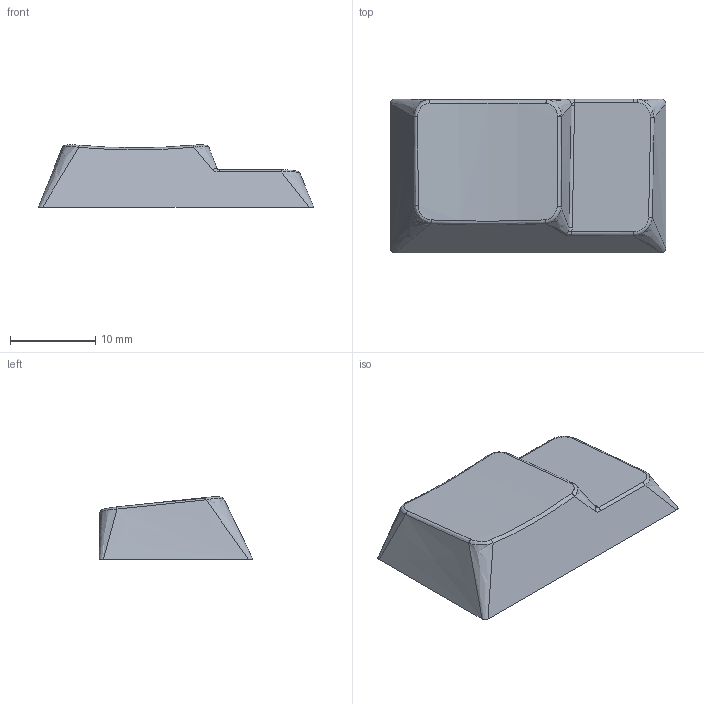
import cadquery as cq
import math


LENGTH = 32.39
DEPTH = 18.1
BASE_CORNER = 0.5

TOP_FALL = 0.107
TILT = math.atan(TOP_FALL)
TOP_HEIGHT = 8.09
STEP_HEIGHT = 4.66

FRONT_LEAN = 0.486
BACK_LEAN = 0.017

TOP_LEFT = 3.0
TOP_RIGHT = 19.9
FOOT_FRONT = 21.08
FOOT_BACK = 21.38
STEP_RIGHT_FRONT = 30.65
STEP_RIGHT_BACK = 30.94

TOP_CORNER = 2.15
STEP_CORNER = 2.3
FOOT_CORNER = 0.6

DISH_RADIUS = 72.0
DISH_DEPTH = 0.69
EDGE_ROUND = 0.45

SPLIT_X = (TOP_LEFT + TOP_RIGHT) / 2
CLEARANCE = 5.0


def rounded_section(corners, plane, left_radius, right_radius):
    """Four-sided wire on a plane, with its left and right corners rounded."""
    wire = cq.Wire.makePolygon([plane.toWorldCoords(corner) for corner in corners], close=True)
    left_vertices = [vertex for vertex in wire.Vertices() if vertex.X < SPLIT_X]
    wire = wire.fillet2D(left_radius, left_vertices)
    right_vertices = [vertex for vertex in wire.Vertices() if vertex.X > SPLIT_X]
    return wire.fillet2D(right_radius, right_vertices)


def base_section():
    corners = [(0, 0), (LENGTH, 0), (LENGTH, DEPTH), (0, DEPTH)]
    return rounded_section(corners, cq.Plane.XY(), BASE_CORNER, BASE_CORNER)


def tilted_section(height, right_front, right_back, right_radius):
    """Section on a plane that falls towards the back, bounded by the leaning front and back walls."""
    plane = cq.Plane((0, 0, height), (1, 0, 0), (0, math.sin(TILT), math.cos(TILT)))
    front_y = FRONT_LEAN * height / (1 + FRONT_LEAN * TOP_FALL)
    back_y = (DEPTH - BACK_LEAN * height) / (1 - BACK_LEAN * TOP_FALL)
    front = front_y / math.cos(TILT)
    back = back_y / math.cos(TILT)
    corners = [(TOP_LEFT, front), (right_front, front), (right_back, back), (TOP_LEFT, back)]
    return rounded_section(corners, plane, TOP_CORNER, right_radius)


def loft_between(lower, upper, x_start, x_end):
    """Ruled loft between two sections, kept only from x_start to x_end."""
    solid = cq.Workplane(cq.Solid.makeLoft([lower, upper], True))
    width = x_end - x_start
    keep = cq.Workplane().box(width, DEPTH + 2 * CLEARANCE, TOP_HEIGHT + 2 * CLEARANCE)
    keep = keep.translate((x_start + width / 2, DEPTH / 2, TOP_HEIGHT / 2))
    return solid.intersect(keep)


def make_body():
    base = base_section()
    top = tilted_section(TOP_HEIGHT, TOP_RIGHT, TOP_RIGHT, TOP_CORNER)
    step = tilted_section(STEP_HEIGHT, STEP_RIGHT_FRONT, STEP_RIGHT_BACK, STEP_CORNER)
    riser_foot = tilted_section(STEP_HEIGHT, FOOT_FRONT, FOOT_BACK, FOOT_CORNER)
    right_limit = LENGTH + CLEARANCE
    left_half = loft_between(base, top, -CLEARANCE, SPLIT_X)
    lower_step = loft_between(base, step, SPLIT_X, right_limit)
    riser = loft_between(riser_foot, top, SPLIT_X, right_limit)
    return left_half.union(lower_step).union(riser).clean()


def cut_dish(body):
    """Shallow cylindrical hollow whose axis runs along the slope of the raised top."""
    along_slope = (0, -math.cos(TILT), math.sin(TILT))
    plane = cq.Plane((SPLIT_X, 0, TOP_HEIGHT), (1, 0, 0), along_slope)
    dish = cq.Workplane(plane).center(0, DISH_RADIUS - DISH_DEPTH).circle(DISH_RADIUS)
    return body.cut(dish.extrude(DEPTH + CLEARANCE, both=True))


def round_top_edges(body):
    """Round the rims of the dish and the step together with the foot of the riser."""
    dish_edges = body.faces("%CYLINDER").edges()
    step_normal = cq.Vector(0, TOP_FALL, 1).normalized()
    step_edges = body.faces(cq.selectors.ParallelDirSelector(step_normal)).edges()
    return dish_edges.add(step_edges).fillet(EDGE_ROUND)


result = round_top_edges(cut_dish(make_body()))